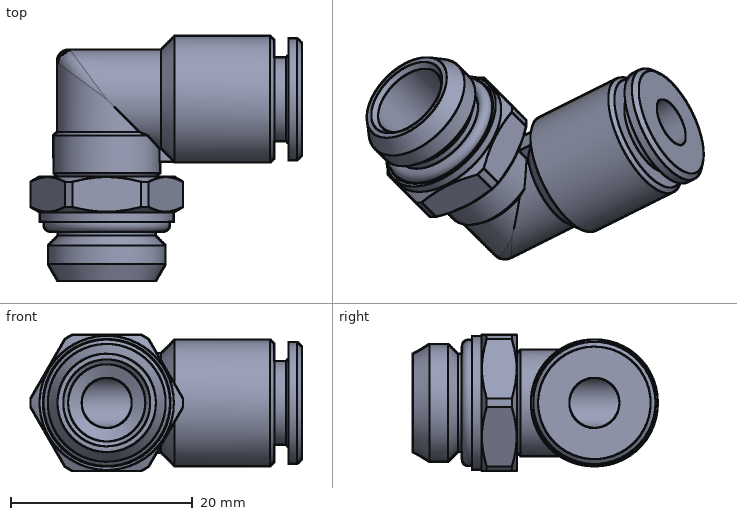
import cadquery as cq
import math


elbow_radius = 5.5
corner_fillet = 1.4
ridge_margin = 0.3

band_radius = 5.9
band_chamfer = band_radius - elbow_radius
band_start = -3.6
hex_start = -8.5

sleeve_radius = 7.0
sleeve_start = 7.48
sleeve_end = 18.45
sleeve_chamfer = 0.48
cone_start = sleeve_start - (sleeve_radius - elbow_radius)

collar_neck_radius = 4.63
collar_radius = 6.73
collar_start = 19.97
collar_end = 21.5
collar_chamfer = 0.55
collar_root_chamfer = 0.25

gusset_depth = 6.88
gusset_thickness = 2.0

hex_across_flats = 15.0
hex_corner_radius = 8.4
hex_chamfer_angle = 30
hex_end = -12.45
flange_radius = 7.4
flange_end = -13.48

neck_radius = 5.4
neck_end = -15.0
thread_radius = 6.5
thread_start = neck_end - (thread_radius - neck_radius)
thread_end = -18.15
stud_end = -20.0
stud_tip_radius = 5.4

ring_wire_radius = 0.78
ring_mean_radius = neck_radius + ring_wire_radius
ring_position = -13.8
groove_radius = 7.03
groove_floor = ring_position + ring_wire_radius

bore_radius = 2.75
stud_bore_radius = 4.25
stud_bore_chamfer = 0.55
stud_bore_end = hex_start
drill_half_angle = 60


def turned_about_x(points):
    return cq.Workplane("XY").polyline(points).close().revolve(360, (0, 0), (1, 0))


def turned_about_y(points):
    return cq.Workplane("XY").polyline(points).close().revolve(360, (0, 0), (0, 1))


def rod_along_x(radius, start, end):
    return cq.Workplane("YZ", origin=(start, 0, 0)).circle(radius).extrude(end - start)


def rod_along_y(radius, start, end):
    return cq.Workplane("XZ", origin=(0, end, 0)).circle(radius).extrude(end - start)


def mitred_corner(radius):
    """Outer quarter of a 90 degree mitre, where both rods overlap beyond the origin."""
    return rod_along_x(radius, -radius, 0).intersect(rod_along_y(radius, 0, radius))


def bent_rod(corner, radius, y_end, x_end):
    return corner.union(rod_along_y(radius, y_end, 0)).union(rod_along_x(radius, 0, x_end))


def make_elbow():
    ridge = cq.selectors.BoxSelector(
        (-elbow_radius, ridge_margin, -elbow_radius),
        (-ridge_margin, elbow_radius, elbow_radius),
    )
    corner = mitred_corner(elbow_radius).edges(ridge).fillet(corner_fillet)
    return bent_rod(corner, elbow_radius, hex_start, cone_start)


def make_band():
    return turned_about_y([
        (0, band_start),
        (elbow_radius, band_start),
        (band_radius, band_start - band_chamfer),
        (band_radius, hex_start + band_chamfer),
        (elbow_radius, hex_start),
        (0, hex_start),
    ])


def make_sleeve_and_collar():
    return turned_about_x([
        (cone_start, 0),
        (cone_start, elbow_radius),
        (sleeve_start, sleeve_radius),
        (sleeve_end - sleeve_chamfer, sleeve_radius),
        (sleeve_end, sleeve_radius - sleeve_chamfer),
        (sleeve_end, collar_neck_radius),
        (collar_start - collar_root_chamfer, collar_neck_radius),
        (collar_start, collar_neck_radius + collar_root_chamfer),
        (collar_start, collar_radius),
        (collar_end - collar_chamfer, collar_radius),
        (collar_end, collar_radius - collar_chamfer),
        (collar_end, 0),
    ])


def make_gusset():
    return (
        cq.Workplane("XY", origin=(0, -gusset_depth, 0))
        .box(sleeve_start, gusset_depth, gusset_thickness, centered=(False, False, True))
    )


def make_hexagon():
    across_corners = hex_across_flats / math.cos(math.pi / 6)
    prism = (
        cq.Workplane("XZ", origin=(0, hex_start, 0))
        .polygon(6, across_corners)
        .extrude(hex_start - hex_end)
    )
    chamfer_length = (hex_corner_radius - flange_radius) * math.tan(math.radians(hex_chamfer_angle))
    blank = turned_about_y([
        (0, hex_start),
        (flange_radius, hex_start),
        (hex_corner_radius, hex_start - chamfer_length),
        (hex_corner_radius, hex_end + chamfer_length),
        (flange_radius, hex_end),
        (0, hex_end),
    ])
    return prism.intersect(blank)


def make_stud():
    return turned_about_y([
        (0, hex_end),
        (flange_radius, hex_end),
        (flange_radius, flange_end),
        (groove_radius, flange_end),
        (groove_radius, groove_floor),
        (neck_radius, groove_floor),
        (neck_radius, neck_end),
        (thread_radius, thread_start),
        (thread_radius, thread_end),
        (stud_tip_radius, stud_end),
        (0, stud_end),
    ])


def make_stud_bore():
    cone_length = (stud_bore_radius - bore_radius) / math.tan(math.radians(drill_half_angle))
    return turned_about_y([
        (0, stud_end),
        (stud_bore_radius + stud_bore_chamfer, stud_end),
        (stud_bore_radius, stud_end + stud_bore_chamfer),
        (stud_bore_radius, stud_bore_end),
        (bore_radius, stud_bore_end + cone_length),
        (0, stud_bore_end + cone_length),
    ])


def make_fitting():
    outside = (
        make_elbow()
        .union(make_band())
        .union(make_sleeve_and_collar())
        .union(make_gusset())
        .union(make_hexagon())
        .union(make_stud())
    )
    elbow_bore = bent_rod(mitred_corner(bore_radius), bore_radius, stud_bore_end, collar_end)
    return outside.cut(elbow_bore).cut(make_stud_bore())


def make_o_ring():
    return (
        cq.Workplane("XY", origin=(ring_mean_radius, ring_position, 0))
        .circle(ring_wire_radius)
        .revolve(360, (-ring_mean_radius, 0), (-ring_mean_radius, 1))
    )


fitting = make_fitting().solids()
o_ring = make_o_ring()
result = cq.Compound.makeCompound([fitting.val(), o_ring.val()])